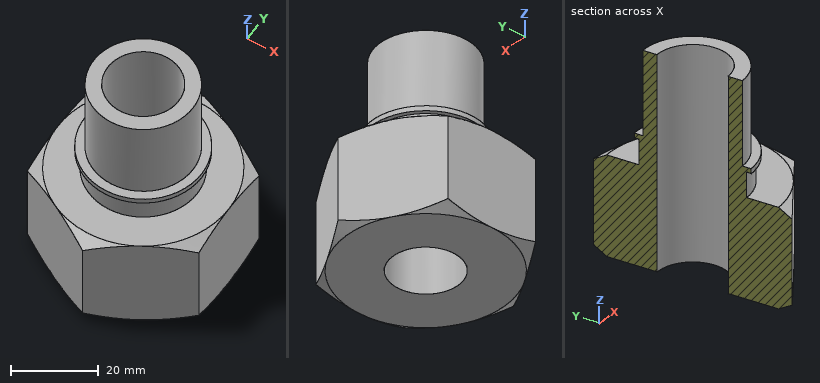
import cadquery as cq
import math

total_height = 57.5
across_flats = 46.0
nut_height = 26.95
chamfer_angle = 30.0

neck_diameter = 29.0
flange_diameter = 31.35
flange_bottom = 33.6
flange_thickness = 1.4
tube_diameter = 26.7
bore_diameter = 19.0

across_corners = across_flats / math.cos(math.radians(30))
flange_top = flange_bottom + flange_thickness


def cylinder(diameter, bottom, top):
    """Round bar on the Z axis between two heights."""
    return cq.Workplane("XY").workplane(offset=bottom).circle(diameter / 2).extrude(top - bottom)


def chamfered_nut():
    """Hexagon with corners on Y, its ends turned to cones that touch the flats."""
    flat_radius = across_flats / 2
    corner_radius = across_corners / 2
    chamfer_drop = (corner_radius - flat_radius) * math.tan(math.radians(chamfer_angle))
    hexagon = (
        cq.Workplane("XY")
        .transformed(rotate=(0, 0, 90))
        .polygon(6, across_corners)
        .extrude(nut_height)
    )
    turned_blank = (
        cq.Workplane("XZ")
        .moveTo(0, 0)
        .lineTo(flat_radius, 0)
        .lineTo(corner_radius, chamfer_drop)
        .lineTo(corner_radius, nut_height - chamfer_drop)
        .lineTo(flat_radius, nut_height)
        .lineTo(0, nut_height)
        .close()
        .revolve(360, (0, 0, 0), (0, 1, 0))
    )
    return hexagon.intersect(turned_blank)


neck = cylinder(neck_diameter, nut_height, flange_bottom)
flange = cylinder(flange_diameter, flange_bottom, flange_top)
tube = cylinder(tube_diameter, flange_top, total_height)
bore = cylinder(bore_diameter, 0, total_height)

result = chamfered_nut().union(neck).union(flange).union(tube).cut(bore)